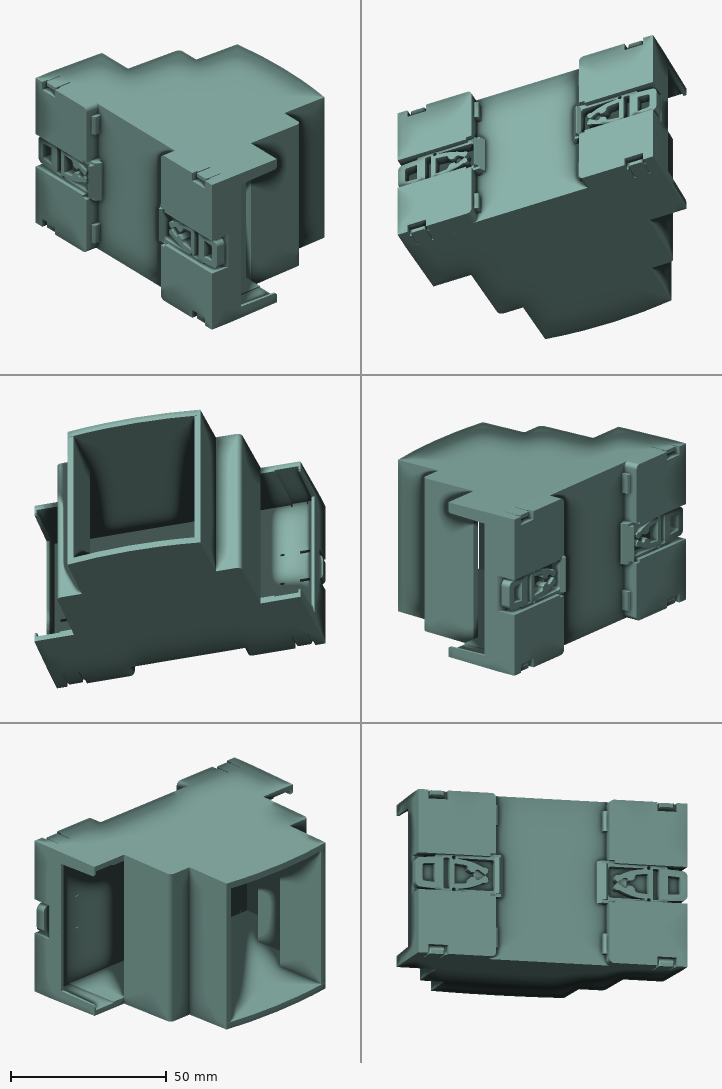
import cadquery as cq
import math


half_length = 45.0
half_width = 26.75
total_height = 66.78
draft = math.tan(math.radians(0.8))
beyond = 1.0

seam_y = 6.85
plate_y = 4.85
foot_inner_x = 18.95
foot_corner_radius = 1.6
channel_half_width = 6.0
head_recess_x = 20.9
head_half_width = 6.9
entry_chamfer_length = 1.6
vent_x_range = (38.5, 41.9)
vent_inner_z = 5.0
rib_z_range = (16.8, 23.3)
rib_tip_x = 17.6
rib_shoulder_x = 18.3
rib_end_y = 2.1
rib_shoulder_y = 2.6
peg_top_y = 3.0
peg_clearance = 0.1

tier_y = (27.2, 48.3, 65.1)
terminal_top_x = 44.6
middle_bottom_x = 31.3
middle_top_x = 30.95
crown_bottom_x = 22.5
crown_top_x = 22.25
shoulder_radius = 1.6
side_wall = 2.0
end_wall = 2.2
sill_y = 12.2
cavity_x = 36.0
rim_width = 1.1
wiring_wall = 1.8
rim_z_bottom = 22.6
rim_z_top = 22.9
rim_chamfer = 0.6

tab_slot_x_range = (35.45, 41.1)
pocket_x_range = (34.95, 41.55)
pocket_top_y = 2.2
pocket_depth = 2.9
tab_x_range = (35.9, 40.8)
tab_tip_y = 0.95
tab_tip_depth = 1.3
tab_slope_y = 2.6
tab_corner = 0.4

clip_face_y = 1.6
grip_end_x = 45.54
grip_end_half_width = 3.05
grip_corner = (43.9, 4.85)
grip_corner_mid = (45.0, 4.3)
grip_root = (38.9, 5.2)
finger_hole_x = (38.9, 43.1)
finger_hole_half_widths = (3.1, 2.8)
finger_hole_radius = 0.7
slot_x_range = (33.9, 36.1)
slot_half_width = 5.05
slot_radius = 0.6
notch_x = 32.6
notch_z = 5.25
notch_radius = 0.65
void_start_x = 31.1
void_half_width = 5.1
void_corner_radius = 1.0
hook_tip_x = 15.7
hook_tip_y = (3.4, 4.0)
hook_step_x = 17.3
hook_bottom_x = 16.85
nose_half_width = 5.95
nose_outer_x = 18.9
nose_tip_width = 0.15
nose_tip_y = 0.1

arm_root = (void_start_x, 4.85)
arm_mid = (25.6, 3.75)
arm_shoulder = (22.6, 2.4)
arm_tip = ((21.1, 1.8), (21.3, 0.9))
arm_tip_mid = (21.5, 2.3)
arm_gap = (22.1, 0.12)
eye_peak = (24.2, 1.55)
eye_mid = (25.15, 1.55)
eye_back = (25.65, 0.8)
neck_end = (26.9, 0.85)
throat = (27.85, 1.6)
throat_mid = (28.0, 2.5)
throat_end = (28.8, 3.0)
window_corner = (32.4, 3.35)


def block(x_range, y_range, z_range):
    """Axis-aligned box from three (low, high) pairs."""
    size = [high - low for low, high in (x_range, y_range, z_range)]
    corner = (x_range[0], y_range[0], z_range[0])
    return cq.Workplane(cq.Solid.makeBox(*size, cq.Vector(*corner)))


def prism(outline, half_depth):
    """Extrude an XY outline symmetrically in Z."""
    return outline.close().extrude(half_depth, both=True)


def from_plate(wire, low_y, high_y):
    """Extrude an XZ outline from low_y to high_y."""
    return wire.extrude(low_y - high_y).translate((0, low_y, 0))


def mirrored_x(body):
    return body.union(body.mirror("YZ"))


def mirrored_z(body):
    return body.union(body.mirror("XY"))


def on_four_corners(body):
    return mirrored_z(mirrored_x(body))


def flip(point):
    return (point[0], -point[1])


def wedge(half_width_at_seam):
    """Full-length slab whose two Z faces lean in with the mould draft."""
    top_y = total_height + beyond
    top_half_width = half_width_at_seam - draft * (top_y - seam_y)
    outline = (
        cq.Workplane("YZ")
        .moveTo(seam_y, -half_width_at_seam)
        .lineTo(top_y, -top_half_width)
        .lineTo(top_y, top_half_width)
        .lineTo(seam_y, half_width_at_seam)
    )
    return outline.close().extrude(half_length, both=True)


def cover_block():
    """Solid stepped shape of the cover with an arched crown."""
    outline = (
        cq.Workplane("XY")
        .moveTo(-half_length, seam_y)
        .lineTo(-terminal_top_x, tier_y[0])
        .lineTo(-middle_bottom_x, tier_y[0])
        .lineTo(-middle_top_x, tier_y[1])
        .lineTo(-crown_bottom_x, tier_y[1])
        .lineTo(-crown_top_x, tier_y[2])
        .threePointArc((0, total_height), (crown_top_x, tier_y[2]))
        .lineTo(crown_bottom_x, tier_y[1])
        .lineTo(middle_top_x, tier_y[1])
        .lineTo(middle_bottom_x, tier_y[0])
        .lineTo(terminal_top_x, tier_y[0])
        .lineTo(half_length, seam_y)
    )
    body = prism(outline, half_width)
    for side in (-1, 1):
        corner = cq.selectors.NearestToPointSelector((side * middle_top_x, tier_y[1], 0))
        body = body.edges(corner).fillet(shoulder_radius)
    return body.intersect(wedge(half_width))


def main_cavity():
    """Inner space between the thin end walls, open at the crown and the base."""
    outline = cq.Workplane("XY").moveTo(-cavity_x, seam_y)
    crown_x = crown_top_x - side_wall
    middle_x = middle_top_x - side_wall
    top_y = total_height + beyond
    right_side = [
        (crown_x, top_y),
        (crown_x, tier_y[1] - side_wall),
        (middle_x, tier_y[1] - side_wall),
        (middle_x, tier_y[0]),
        (cavity_x, tier_y[0]),
        (cavity_x, seam_y),
    ]
    left_side = [(-x, y) for x, y in reversed(right_side)]
    outline = outline.polyline(left_side[1:] + right_side, includeCurrent=True)
    above_side_walls = block(
        (-half_length, half_length), (tier_y[2], top_y), (-half_width, half_width)
    )
    cavity = prism(outline, half_width).union(above_side_walls)
    return cavity.intersect(wedge(half_width - end_wall))


def wiring_cavities():
    """Space under the terminals, bounded by the sill and the rims at the outer ends."""
    outer_x = half_length - rim_width
    space = block((-outer_x, outer_x), (seam_y, tier_y[0]), (-half_width, half_width))
    return space.intersect(wedge(half_width - wiring_wall)).cut(main_end_walls())


def main_end_walls():
    """Slightly thicker end walls of the middle part, left standing beside the cavities."""
    walls = block((-cavity_x, cavity_x), (seam_y, tier_y[0]), (-half_width, half_width))
    return walls.cut(wedge(half_width - end_wall))


def terminal_openings():
    """Openings between the rims, reaching out through X above the sill."""
    half_section = [
        (sill_y, rim_z_bottom),
        (tier_y[0] - rim_chamfer, rim_z_top),
        (tier_y[0], rim_z_top + rim_chamfer),
    ]
    section = half_section + [flip(point) for point in reversed(half_section)]
    return cq.Workplane("YZ").polyline(section).close().extrude(half_length, both=True)


def snap_tab():
    """Latch hanging from the cover, with a sloped lead-in on its inner side."""
    outer_z = half_width
    section = [
        (seam_y, outer_z),
        (tab_tip_y, outer_z),
        (tab_tip_y, outer_z - tab_tip_depth),
        (tab_slope_y, outer_z - pocket_depth),
        (seam_y, outer_z - pocket_depth),
    ]
    width = tab_x_range[1] - tab_x_range[0]
    tab = cq.Workplane("YZ").polyline(section).close().extrude(width)
    tab = tab.translate((tab_x_range[0], 0, 0))
    return tab.edges("|Z and <Y").chamfer(tab_corner)


def build_cover():
    shell = cover_block().cut(main_cavity()).cut(wiring_cavities()).cut(terminal_openings())
    return shell.union(on_four_corners(snap_tab()))


def foot():
    """Rail foot on the +X side with the guide channel for its clip."""
    body = block((foot_inner_x, half_length), (0, seam_y), (-half_width, half_width))
    body = body.edges("|Y and <X").fillet(foot_corner_radius)
    channel = block(
        (0, half_length), (0, plate_y), (-channel_half_width, channel_half_width)
    )
    head_recess = block((0, head_recess_x), (0, plate_y), (-head_half_width, head_half_width))
    return body.cut(channel).cut(head_recess)


def rail_rib():
    """Small stop on the inner face of a foot."""
    outline = (
        cq.Workplane("XY")
        .moveTo(foot_inner_x, plate_y)
        .lineTo(rib_tip_x, plate_y)
        .lineTo(rib_tip_x, rib_shoulder_y)
        .lineTo(rib_shoulder_x, rib_end_y)
        .lineTo(foot_inner_x, rib_end_y)
        .close()
    )
    rib = outline.extrude(rib_z_range[1] - rib_z_range[0])
    return rib.translate((0, 0, rib_z_range[0]))


def spring_peg():
    """Low teardrop peg standing on the base plate between the spring arms."""
    outline = (
        cq.Workplane("XZ")
        .moveTo(*arm_gap)
        .lineTo(*eye_peak)
        .threePointArc(eye_mid, eye_back)
        .lineTo(*flip(eye_back))
        .threePointArc(flip(eye_mid), flip(eye_peak))
        .lineTo(*flip(arm_gap))
        .close()
        .offset2D(-peg_clearance)
    )
    return from_plate(outline, peg_top_y, plate_y)


def plate_openings():
    """Holes through the base plate along both edges of the +X channel."""
    vent = block(vent_x_range, (0, seam_y), (vent_inner_z, channel_half_width))
    notch_range = (notch_x - notch_radius, notch_x + notch_radius)
    notch = block(notch_range, (0, seam_y), (notch_z, channel_half_width))
    return mirrored_z(vent.union(notch))


def entry_chamfer():
    """Sloped end of the base plate under the clip grip."""
    slope = (
        cq.Workplane("XY")
        .moveTo(half_length, seam_y)
        .lineTo(half_length, plate_y)
        .lineTo(half_length - entry_chamfer_length, plate_y)
    )
    return prism(slope, channel_half_width)


def tab_pocket():
    """Recess for a snap tab: a close slot that widens around the tab tip."""
    z_range = (half_width - pocket_depth, half_width)
    slot = block(tab_slot_x_range, (0, seam_y), z_range)
    return slot.union(block(pocket_x_range, (0, pocket_top_y), z_range))


def build_base():
    plate = block((-half_length, half_length), (plate_y, seam_y), (-half_width, half_width))
    body = plate.union(mirrored_x(foot()))
    body = body.union(on_four_corners(rail_rib()))
    body = body.cut(on_four_corners(tab_pocket()))
    body = body.cut(mirrored_x(plate_openings().union(entry_chamfer())))
    return body.union(spring_peg()).union(spring_peg().mirror("YZ"))


def clip_slab():
    """Flat body of the clip: rounded grip, then guided by the channel walls."""
    outline = (
        cq.Workplane("XZ")
        .moveTo(foot_inner_x, channel_half_width)
        .lineTo(vent_x_range[0], channel_half_width)
        .lineTo(*grip_root)
        .lineTo(*grip_corner)
        .threePointArc(grip_corner_mid, (grip_end_x, grip_end_half_width))
        .lineTo(grip_end_x, -grip_end_half_width)
        .threePointArc(flip(grip_corner_mid), flip(grip_corner))
        .lineTo(*flip(grip_root))
        .lineTo(vent_x_range[0], -channel_half_width)
        .lineTo(foot_inner_x, -channel_half_width)
        .close()
    )
    return from_plate(outline, clip_face_y, plate_y)


def hook_head():
    """Wider head whose undercut hook and pointed nose grip the rail."""
    hook = (
        cq.Workplane("XY")
        .moveTo(head_recess_x, plate_y)
        .lineTo(hook_step_x, plate_y)
        .lineTo(hook_step_x, hook_tip_y[1])
        .lineTo(hook_tip_x, hook_tip_y[1])
        .lineTo(hook_tip_x, hook_tip_y[0])
        .lineTo(hook_bottom_x, clip_face_y)
        .lineTo(head_recess_x, clip_face_y)
    )
    slope = (hook_bottom_x - hook_tip_x) / (hook_tip_y[0] - clip_face_y)
    tip_x = hook_bottom_x + slope * (clip_face_y - nose_tip_y)
    nose = (
        cq.Workplane("XY")
        .moveTo(hook_bottom_x, clip_face_y)
        .lineTo(tip_x, nose_tip_y)
        .lineTo(tip_x + nose_tip_width, nose_tip_y)
        .lineTo(nose_outer_x, clip_face_y)
    )
    return prism(hook, head_half_width).union(prism(nose, nose_half_width))


def spring_void():
    """Opening that frees the two curved spring arms inside the clip."""
    wall_x = foot_inner_x
    corner_x = wall_x + void_corner_radius
    corner_z = void_half_width - void_corner_radius
    outline = (
        cq.Workplane("XZ")
        .moveTo(void_start_x, void_half_width)
        .lineTo(corner_x, void_half_width)
        .radiusArc((wall_x, corner_z), -void_corner_radius)
        .lineTo(wall_x, -corner_z)
        .radiusArc((corner_x, -void_half_width), -void_corner_radius)
        .lineTo(void_start_x, -void_half_width)
        .lineTo(*flip(arm_root))
        .threePointArc(flip(arm_mid), flip(arm_shoulder))
        .threePointArc(flip(arm_tip_mid), flip(arm_tip[0]))
        .lineTo(*flip(arm_tip[1]))
        .lineTo(*flip(arm_gap))
        .lineTo(*flip(eye_peak))
        .threePointArc(flip(eye_mid), flip(eye_back))
        .lineTo(*flip(neck_end))
        .lineTo(*flip(throat))
        .threePointArc(flip(throat_mid), flip(throat_end))
        .lineTo(*flip(window_corner))
        .lineTo(*window_corner)
        .lineTo(*throat_end)
        .threePointArc(throat_mid, throat)
        .lineTo(*neck_end)
        .lineTo(*eye_back)
        .threePointArc(eye_mid, eye_peak)
        .lineTo(*arm_gap)
        .lineTo(*arm_tip[1])
        .lineTo(*arm_tip[0])
        .threePointArc(arm_tip_mid, arm_shoulder)
        .threePointArc(arm_mid, arm_root)
        .close()
    )
    return from_plate(outline, clip_face_y, plate_y)


def clip_openings():
    """Finger hole, cross slot and edge notches, all through the clip."""
    near_half, far_half = finger_hole_half_widths
    hole_points = [
        (finger_hole_x[0], near_half),
        (finger_hole_x[1], far_half),
        (finger_hole_x[1], -far_half),
        (finger_hole_x[0], -near_half),
    ]
    hole_outline = cq.Workplane("XZ").polyline(hole_points).close()
    hole = from_plate(hole_outline, clip_face_y, plate_y)
    hole = hole.edges("|Y and >X").fillet(finger_hole_radius)
    slot = block(slot_x_range, (clip_face_y, plate_y), (-slot_half_width, slot_half_width))
    slot = slot.edges("|Y and >X").fillet(slot_radius)
    notch_points = [(notch_x, notch_z), (notch_x, -notch_z)]
    notch_outline = cq.Workplane("XZ").pushPoints(notch_points).circle(notch_radius)
    return hole.union(slot).union(from_plate(notch_outline, clip_face_y, plate_y))


def build_clip(side):
    """One rail clip; side is +1 or -1 along X."""
    clip = clip_slab().union(hook_head())
    clip = clip.cut(spring_void()).cut(clip_openings())
    return clip if side > 0 else clip.mirror("YZ")


cover = build_cover()
base = build_base()
clips = [build_clip(side) for side in (-1, 1)]

bodies = [cover, base, *clips]

result = cq.Compound.makeCompound([body.solids().val() for body in bodies])